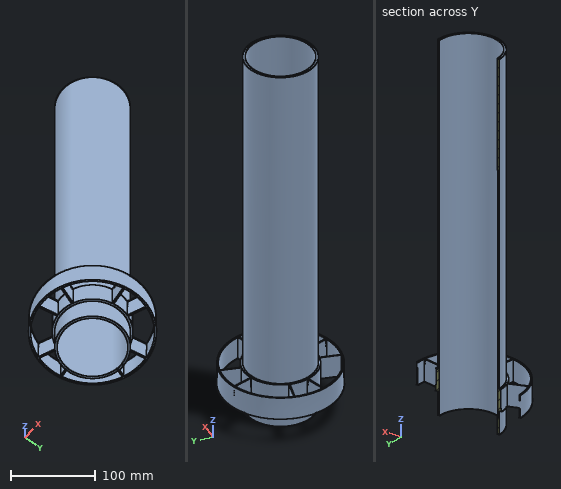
import cadquery as cq

TOTAL_HEIGHT = 500.0

TAB_WIDTH = 9.0
TAB_HEIGHT = 1.0

TUBE_BOTTOM = TAB_HEIGHT
TUBE_LENGTH = TOTAL_HEIGHT - TAB_HEIGHT
TUBE_OUTER_RADIUS = 45.0
TUBE_WALL = 3.0

WHEEL_BOTTOM = 32.5
WHEEL_HEIGHT = 30.0
WHEEL_TOP = WHEEL_BOTTOM + WHEEL_HEIGHT
WHEEL_TURN = 5.0
WHEEL_DRAFT = 0.4
RIM_OUTER_RADIUS = 76.0
RIM_WALL = 2.5
RIM_INNER_RADIUS = RIM_OUTER_RADIUS - RIM_WALL
COLLAR_OUTER_RADIUS = 48.0

PAIR_COUNT = 4
PAIR_HALF_ANGLE = 15.0
SPOKE_THICKNESS = 2.0


def sleeve(bottom, height):
    """Straight length of the tube wall."""
    return (
        cq.Workplane("XY")
        .workplane(offset=bottom)
        .circle(TUBE_OUTER_RADIUS)
        .circle(TUBE_OUTER_RADIUS - TUBE_WALL)
        .extrude(height)
    )


def wall_tab():
    """Tongue cut from the tube wall, overlapping the tube by its own height."""
    tab_blank = cq.Workplane("XY").box(
        TAB_WIDTH, TUBE_OUTER_RADIUS, 2 * TAB_HEIGHT, centered=(True, False, False)
    )
    return sleeve(0, 2 * TAB_HEIGHT).intersect(tab_blank)


def drafted_ring(outer_radius, inner_radius, inner_draft):
    """Wheel ring that thins towards the top."""
    return (
        cq.Workplane("XZ")
        .moveTo(inner_radius, WHEEL_BOTTOM)
        .lineTo(outer_radius, WHEEL_BOTTOM)
        .lineTo(outer_radius - WHEEL_DRAFT, WHEEL_TOP)
        .lineTo(inner_radius + inner_draft, WHEEL_TOP)
        .close()
        .revolve(360, (0, 0, 0), (0, 1, 0))
    )


def spoke(angle):
    """Radial web joining the collar to the rim, with its ends embedded in both."""
    start = (TUBE_OUTER_RADIUS + COLLAR_OUTER_RADIUS) / 2
    end = (RIM_OUTER_RADIUS + RIM_INNER_RADIUS) / 2
    half_bottom = SPOKE_THICKNESS / 2
    half_top = half_bottom - WHEEL_DRAFT
    return (
        cq.Workplane("YZ")
        .workplane(offset=start)
        .moveTo(-half_bottom, WHEEL_BOTTOM)
        .lineTo(half_bottom, WHEEL_BOTTOM)
        .lineTo(half_top, WHEEL_TOP)
        .lineTo(-half_top, WHEEL_TOP)
        .close()
        .extrude(end - start)
        .rotate((0, 0, 0), (0, 0, 1), angle)
    )


def spoked_wheel():
    """Collar, rim and all spokes, turned about the tube axis."""
    collar = drafted_ring(COLLAR_OUTER_RADIUS, TUBE_OUTER_RADIUS, 0)
    rim = drafted_ring(RIM_OUTER_RADIUS, RIM_INNER_RADIUS, WHEEL_DRAFT)
    wheel = collar
    for pair in range(PAIR_COUNT):
        pair_angle = pair * 360 / PAIR_COUNT
        for side in (-1, 1):
            wheel = wheel.union(spoke(pair_angle + side * PAIR_HALF_ANGLE))
    return wheel.union(rim).rotate((0, 0, 0), (0, 0, 1), WHEEL_TURN)


tube = sleeve(TUBE_BOTTOM, TUBE_LENGTH).union(wall_tab())
result = tube.union(spoked_wheel())